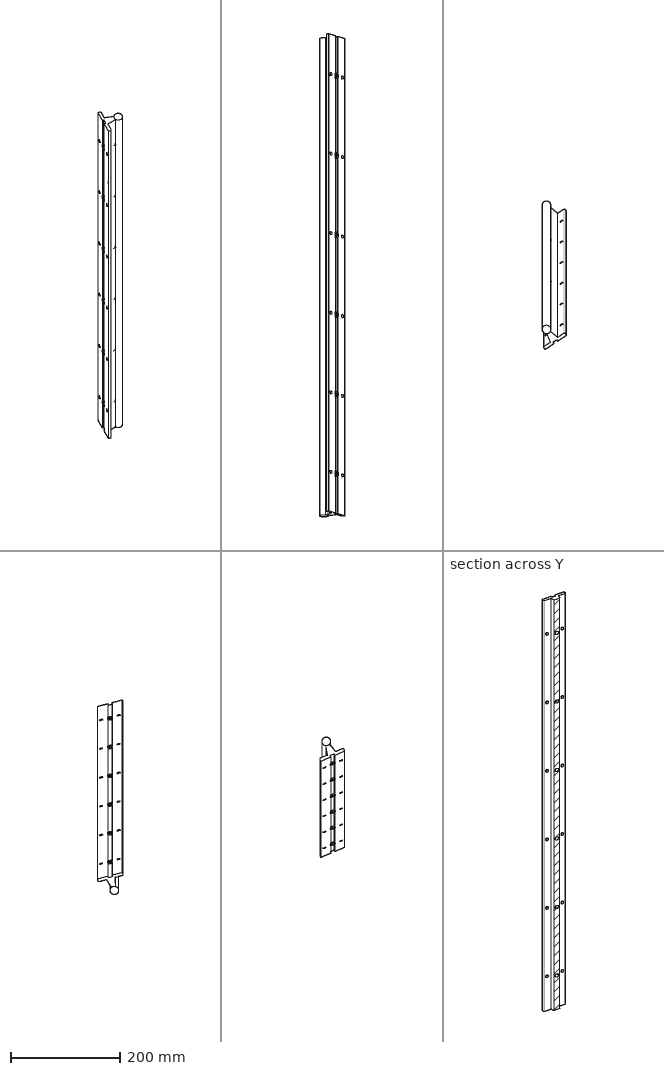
import cadquery as cq
import math

RAIL_LENGTH = 900.0
PLATE_WIDTH = 48.0
PLATE_THICKNESS = 6.0
PLATE_TOP_FILLET = 2.0
PLATE_BOTTOM_CHAMFER = 0.5

NECK_BASE_WIDTH = 16.0
NECK_TOP_WIDTH = 7.9

SHAFT_RADIUS = 8.0
UNDERSHAFT_GAP = 2 * SHAFT_RADIUS

GROOVE_WIDTH = 8.0
GROOVE_DEPTH = 3.0

STATION_COUNT = 6
MOUNT_HOLE_DIAMETER = 5.0
MOUNT_HOLE_SPACING = 33.0

HEAD_DIAMETER = 10.0
SHANK_DIAMETER = 6.0
SHANK_BITE = 8.0
SOCKET_ACROSS_FLATS = 4.0
SOCKET_DEPTH = 2.0

SHAFT_AXIS_Y = PLATE_THICKNESS + UNDERSHAFT_GAP + SHAFT_RADIUS
SADDLE_EDGE_Y = SHAFT_AXIS_Y - math.sqrt(SHAFT_RADIUS**2 - (NECK_TOP_WIDTH / 2) ** 2)
SHAFT_BOTTOM_Y = SHAFT_AXIS_Y - SHAFT_RADIUS
SHANK_END_Y = SHAFT_BOTTOM_Y + SHANK_BITE
STATION_PITCH = RAIL_LENGTH / STATION_COUNT
STATIONS_Z = [(i - (STATION_COUNT - 1) / 2) * STATION_PITCH for i in range(STATION_COUNT)]

SECTION_PLANE = cq.Plane(origin=(0, 0, -RAIL_LENGTH / 2), xDir=(1, 0, 0), normal=(0, 0, 1))


def cylinder_along_y(diameter, start_y, end_y, x, z):
    """Cylinder parallel to Y between two heights."""
    return cq.Workplane(cq.Solid.makeCylinder(
        diameter / 2, end_y - start_y, cq.Vector(x, start_y, z), cq.Vector(0, 1, 0)))


def screw_envelope(z):
    """Head and shank of one screw as a plain stepped cylinder."""
    head = cylinder_along_y(HEAD_DIAMETER, 0, GROOVE_DEPTH, 0, z)
    shank = cylinder_along_y(SHANK_DIAMETER, GROOVE_DEPTH, SHANK_END_Y, 0, z)
    return head.union(shank)


def make_screw(z):
    """Screw with its head flush with the plate's underside and a hexagon socket in the head."""
    head_face = cq.Plane(origin=(0, 0, z), xDir=(1, 0, 0), normal=(0, 1, 0))
    across_corners = SOCKET_ACROSS_FLATS / math.cos(math.pi / 6)
    socket = cq.Workplane(head_face).polygon(6, across_corners).extrude(SOCKET_DEPTH)
    return screw_envelope(z).cut(socket)


def shaft_bar():
    """Full-length round bar."""
    return cq.Workplane(SECTION_PLANE).center(0, SHAFT_AXIS_Y).circle(SHAFT_RADIUS).extrude(RAIL_LENGTH)


def make_shaft():
    """Round bar with a blind hole for each screw."""
    shaft = shaft_bar()
    for z in STATIONS_Z:
        shaft = shaft.cut(screw_envelope(z))
    return shaft


def plate():
    """Base plate with rounded upper and chamfered lower long edges."""
    slab = cq.Workplane(SECTION_PLANE).center(0, PLATE_THICKNESS / 2).rect(
        PLATE_WIDTH, PLATE_THICKNESS).extrude(RAIL_LENGTH)
    slab = slab.faces(">Y").edges("|Z").fillet(PLATE_TOP_FILLET)
    return slab.faces("<Y").edges("|Z").chamfer(PLATE_BOTTOM_CHAMFER)


def neck():
    """Tapered neck ending in a saddle that fits the shaft."""
    saddle_left = (-NECK_TOP_WIDTH / 2, SADDLE_EDGE_Y)
    saddle_right = (NECK_TOP_WIDTH / 2, SADDLE_EDGE_Y)
    return (
        cq.Workplane(SECTION_PLANE)
        .moveTo(-NECK_BASE_WIDTH / 2, PLATE_THICKNESS)
        .lineTo(NECK_BASE_WIDTH / 2, PLATE_THICKNESS)
        .lineTo(*saddle_right)
        .threePointArc((0, SHAFT_BOTTOM_Y), saddle_left)
        .close()
        .extrude(RAIL_LENGTH)
    )


def groove():
    """Rectangular groove along the plate's underside."""
    return cq.Workplane(SECTION_PLANE).center(0, GROOVE_DEPTH / 2).rect(
        GROOVE_WIDTH, GROOVE_DEPTH).extrude(RAIL_LENGTH)


def make_support():
    """Plate and neck with the groove, screw recesses and mounting holes."""
    support = plate().union(neck()).cut(groove())
    for z in STATIONS_Z:
        support = support.cut(screw_envelope(z))
        for x in (-MOUNT_HOLE_SPACING / 2, MOUNT_HOLE_SPACING / 2):
            support = support.cut(cylinder_along_y(MOUNT_HOLE_DIAMETER, 0, PLATE_THICKNESS, x, z))
    return support


support = make_support()
shaft = make_shaft()
screws = [make_screw(z) for z in STATIONS_Z]

result = cq.Compound.makeCompound([support.val(), shaft.val(), *[screw.val() for screw in screws]])